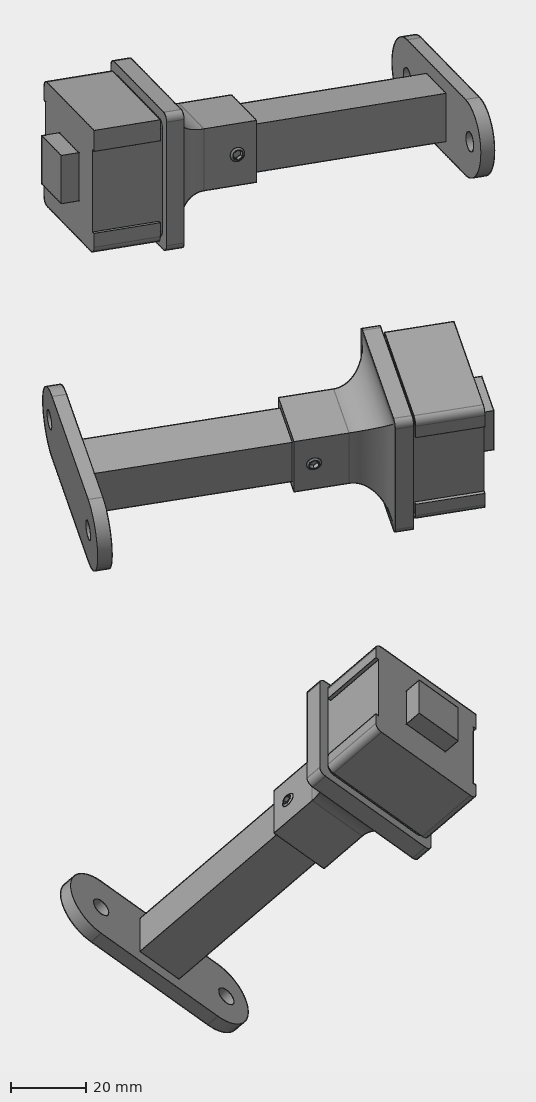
import cadquery as cq
import math

TOTAL_LENGTH = 114.0
BAR_SIDE = 14.0
PLATE_LENGTH = 64.0
PLATE_HEIGHT = 22.0
PLATE_THICKNESS = 4.0
PLATE_HOLE_DIAMETER = 5.5
LEFT_HOLE_X = -21.0
RIGHT_HOLE_X = 24.0

BAR_PROTRUSION = 5.0
BLOCK_SIDE = 36.0
BLOCK_LENGTH = 18.9
RECESS_HEIGHT = 23.8
NECK_INSET = 1.0
NECK_LENGTH = 1.0
FLANGE_SIDE = 40.0
FLANGE_THICKNESS = 5.0
FLARE_RADIUS = 10.0
COLLAR_SIDE = 18.0
COLLAR_LENGTH = 15.0
CORNER_RADIUS = 2.0

SCREW_DIAMETER = 4.1
SCREW_PROTRUSION = 0.5
SCREW_CHAMFER_WIDTH = 0.6
SCREW_FROM_COLLAR_END = 5.5
SOCKET_ACROSS_FLATS = 2.5
SOCKET_SIDES = 6
SOCKET_DEPTH = 1.5

NECK_SIDE = BLOCK_SIDE - 2 * NECK_INSET
BLOCK_START = BAR_PROTRUSION
NECK_START = BLOCK_START + BLOCK_LENGTH
FLANGE_START = NECK_START + NECK_LENGTH
FLARE_START = FLANGE_START + FLANGE_THICKNESS
COLLAR_START = FLARE_START + FLARE_RADIUS
COLLAR_END = COLLAR_START + COLLAR_LENGTH
SCREW_Y = COLLAR_END - SCREW_FROM_COLLAR_END
SCREW_INNER_X = BAR_SIDE / 2
SCREW_LENGTH = COLLAR_SIDE / 2 + SCREW_PROTRUSION - SCREW_INNER_X


def section_plane(y):
    """Plane across the bar axis at y, with X right, Z up and a -Y normal."""
    return cq.Workplane("XZ", origin=(0, y, 0))


def square_bar(side, start, length):
    """Square prism around the Y axis, running from start toward +Y."""
    return section_plane(start).rect(side, side).extrude(-length)


def make_post():
    plate_start = TOTAL_LENGTH - PLATE_THICKNESS
    plate = section_plane(plate_start).slot2D(PLATE_LENGTH, PLATE_HEIGHT).extrude(-PLATE_THICKNESS)
    holes = (
        section_plane(plate_start)
        .pushPoints([(LEFT_HOLE_X, 0), (RIGHT_HOLE_X, 0)])
        .circle(PLATE_HOLE_DIAMETER / 2)
        .extrude(-PLATE_THICKNESS)
    )
    return square_bar(BAR_SIDE, 0, plate_start).union(plate.cut(holes))


def make_block():
    """Square block with three rounded corners (+X +Z stays sharp) and a recess in each X side."""
    block = square_bar(BLOCK_SIDE, BLOCK_START, BLOCK_LENGTH)
    block = block.edges("|Y").edges("<X or <Z").fillet(CORNER_RADIUS)
    recess_x = (BLOCK_SIDE - NECK_INSET) / 2
    recesses = (
        section_plane(BLOCK_START)
        .pushPoints([(-recess_x, 0), (recess_x, 0)])
        .rect(NECK_INSET, RECESS_HEIGHT)
        .extrude(-BLOCK_LENGTH)
    )
    return block.cut(recesses)


def flare_profile(plane):
    """Profile that widens along a concave quarter circle toward the flange, extruded both ways."""
    collar_half = COLLAR_SIDE / 2
    foot_half = collar_half + FLARE_RADIUS
    arc_offset = FLARE_RADIUS * (1 - math.sqrt(0.5))
    arc_mid = (collar_half + arc_offset, FLARE_START + arc_offset)
    return (
        plane.moveTo(-foot_half, FLARE_START)
        .lineTo(foot_half, FLARE_START)
        .threePointArc(arc_mid, (collar_half, COLLAR_START))
        .lineTo(-collar_half, COLLAR_START)
        .threePointArc((-arc_mid[0], arc_mid[1]), (-foot_half, FLARE_START))
        .close()
        .extrude(foot_half, both=True)
    )


def make_flare():
    """The same flare along X and along Z, mitred at the corners."""
    along_x = flare_profile(cq.Workplane("XY"))
    along_z = along_x.rotate((0, 0, 0), (0, 1, 0), 90)
    return along_x.intersect(along_z)


def make_housing():
    neck = square_bar(NECK_SIDE, NECK_START, NECK_LENGTH).edges("|Y").fillet(CORNER_RADIUS)
    flange = square_bar(FLANGE_SIDE, FLANGE_START, FLANGE_THICKNESS).edges("|Y").fillet(CORNER_RADIUS)
    collar = square_bar(COLLAR_SIDE, COLLAR_START, COLLAR_LENGTH)
    bar_bore = square_bar(BAR_SIDE, BLOCK_START, COLLAR_END - BLOCK_START)
    screw_holes = (
        cq.Workplane("YZ")
        .center(SCREW_Y, 0)
        .circle(SCREW_DIAMETER / 2)
        .extrude(COLLAR_SIDE / 2, both=True)
    )
    body = make_block().union(neck).union(flange).union(make_flare()).union(collar)
    return body.cut(bar_bore).cut(screw_holes)


def make_set_screw(turn):
    """Set screw resting on the bar, its chamfered socket end outside; turned about Z by turn degrees."""
    across_corners = SOCKET_ACROSS_FLATS / math.cos(math.pi / SOCKET_SIDES)
    screw = (
        cq.Workplane("YZ", origin=(SCREW_INNER_X, 0, 0))
        .circle(SCREW_DIAMETER / 2)
        .extrude(SCREW_LENGTH)
        .faces(">X")
        .chamfer(SCREW_PROTRUSION, SCREW_CHAMFER_WIDTH)
    )
    socket = (
        cq.Workplane("YZ", origin=(SCREW_INNER_X + SCREW_LENGTH, 0, 0))
        .transformed(rotate=(0, 0, 90))
        .polygon(SOCKET_SIDES, across_corners)
        .extrude(-SOCKET_DEPTH)
    )
    return screw.cut(socket).rotate((0, 0, 0), (0, 0, 1), turn).translate((0, SCREW_Y, 0))


post = make_post()
housing = make_housing()
set_screws = [make_set_screw(turn) for turn in (0, 180)]

result = cq.Compound.makeCompound([post.val(), housing.val(), *[screw.val() for screw in set_screws]])